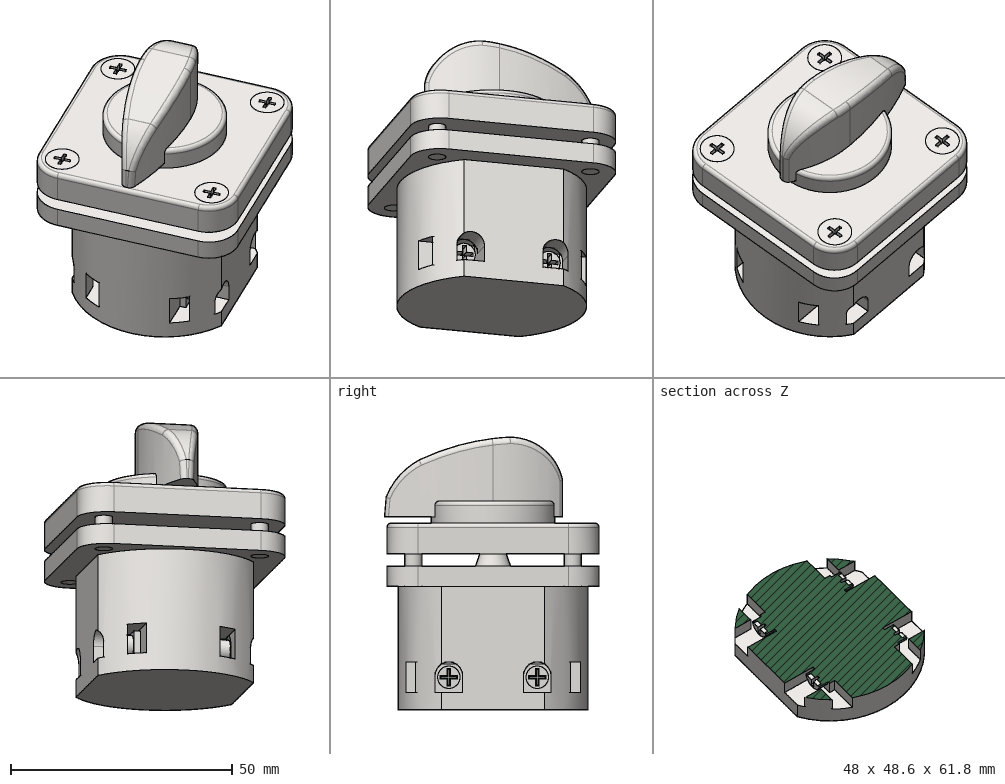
import cadquery as cq
import math

total_height = 61.75

plate_side = 48.0
plate_corner_radius = 7.0
base_plate_bottom = 27.95
base_plate_top = 32.55
cover_bottom = 35.3
cover_top = 42.3
cover_edge_radius = 1.0

drum_radius = 21.5
drum_half_width = 18.0
hub_bottom_radius = 4.0
hub_top_radius = 3.0

screw_spacing = 36.05
screw_head_radius = 3.8
screw_head_height = 2.5
screw_shank_radius = 2.0
screw_cross_length = 3.8
screw_cross_width = 0.7

cross_depth = 1.7
cross_taper = 8.0

pocket_width = 6.2
pocket_bottom = 4.0
pocket_top = 10.85
pocket_inner_x = 8.5
pocket_offset = 10.0
window_width = 3.95
block_thickness = 1.4
block_top = 10.45
terminal_head_radius = 2.55
terminal_head_height = 2.55
terminal_centre_z = 7.4
terminal_cross_length = 4.0
terminal_cross_width = 0.85

disc_radius = 14.0
disc_top = 47.3
disc_edge_radius = 1.0
grip_bottom = 43.65
grip_half_width = 6.25
grip_rear_y = 15.75
grip_front_y = -24.6
grip_rear_side_radius = 25.9
grip_front_side_radius = 61.75
grip_edge_radius = 1.5
grip_peak_y = 3.7
grip_rear_shoulder = 52.0
grip_back_middle = (-6.6, 60.2)
grip_brow = (-16.5, 56.7)
grip_nose_middle = (-21.25, 53.0)
grip_nose = (-24.2, 48.15)


def cylinder(radius, bottom, top):
    return cq.Workplane("XY", origin=(0, 0, bottom)).circle(radius).extrude(top - bottom)


def rounded_plate(bottom, top):
    return (
        cq.Workplane("XY", origin=(0, 0, bottom))
        .rect(plate_side, plate_side)
        .extrude(top - bottom)
        .edges("|Z")
        .fillet(plate_corner_radius)
    )


def cross_recess(length, width):
    """Two crossed slots with drafted walls, cut down from Z = 0 and centred on the Z axis."""
    slot = cq.Workplane("XY").rect(length, width).extrude(-cross_depth, taper=cross_taper)
    return slot.union(slot.rotate((0, 0, 0), (0, 0, 1), 90))


screw_places = [
    (x, y)
    for x in (-screw_spacing / 2, screw_spacing / 2)
    for y in (-screw_spacing / 2, screw_spacing / 2)
]


def screw_blank():
    head_bottom = cover_top - screw_head_height
    head = cylinder(screw_head_radius, head_bottom, cover_top)
    return head.union(cylinder(screw_shank_radius, base_plate_bottom, head_bottom))


def make_screw(x, y):
    recess = cross_recess(screw_cross_length, screw_cross_width).translate((0, 0, cover_top))
    return screw_blank().cut(recess).translate((x, y, 0))


def with_screw_holes(body):
    for x, y in screw_places:
        body = body.cut(screw_blank().translate((x, y, 0)))
    return body


def terminal_pocket():
    """Arched pocket in the -X flat, centred on Y = 0."""
    arch_centre_z = pocket_top - pocket_width / 2
    return (
        cq.Workplane("YZ", origin=(-drum_half_width, 0, 0))
        .moveTo(-pocket_width / 2, pocket_bottom)
        .lineTo(pocket_width / 2, pocket_bottom)
        .lineTo(pocket_width / 2, arch_centre_z)
        .threePointArc((0, pocket_top), (-pocket_width / 2, arch_centre_z))
        .close()
        .extrude(drum_half_width - pocket_inner_x)
    )


def terminal():
    """Block at the inner end of the -X pocket with a cross-slotted screw head on it, at Y = 0."""
    block_face_x = -pocket_inner_x - block_thickness
    block = (
        cq.Workplane("XY")
        .box(block_thickness, pocket_width, block_top - pocket_bottom, centered=(False, True, False))
        .translate((block_face_x, 0, pocket_bottom))
    )
    head = cylinder(terminal_head_radius, -terminal_head_height, 0)
    head = head.cut(cross_recess(terminal_cross_length, terminal_cross_width))
    head = head.rotate((0, 0, 0), (0, 1, 0), -90)
    return block.union(head.translate((block_face_x - terminal_head_height, 0, terminal_centre_z)))


def side_window():
    """Rectangular opening from the -Y side of the drum to the far wall of the -X pocket."""
    depth = drum_radius - pocket_offset + pocket_width / 2
    return (
        cq.Workplane("XY")
        .box(window_width, depth, pocket_top - pocket_bottom, centered=False)
        .translate((-pocket_inner_x - window_width, -drum_radius, pocket_bottom))
    )


def make_drum():
    flats = cq.Workplane("XY").rect(2 * drum_half_width, 2 * drum_radius).extrude(base_plate_bottom)
    drum = cylinder(drum_radius, 0, base_plate_bottom).intersect(flats)
    opening = terminal_pocket().cut(terminal()).translate((0, -pocket_offset, 0))
    window = side_window().cut(terminal().translate((0, -pocket_offset, 0)))
    front_left = opening.union(window)
    rear_left = front_left.mirror("XZ")
    for left_opening in (front_left, rear_left):
        drum = drum.cut(left_opening).cut(left_opening.mirror("YZ"))
    return drum


def make_hub():
    return (
        cq.Workplane("XY", origin=(0, 0, base_plate_top))
        .circle(hub_bottom_radius)
        .workplane(offset=cover_bottom - base_plate_top)
        .circle(hub_top_radius)
        .loft()
    )


def make_base():
    plate = rounded_plate(base_plate_bottom, base_plate_top)
    return with_screw_holes(make_drum().union(plate).union(make_hub()))


def side_half_width(y, radius):
    """Half width of the grip at y, on a side arc that is parallel to Y at y = 0."""
    return grip_half_width - radius + math.sqrt(radius**2 - y**2)


def grip_plan():
    """Grip outline seen along Z: two arcs on each side and narrow flat ends."""
    rear = side_half_width(grip_rear_y, grip_rear_side_radius)
    rear_middle = side_half_width(grip_rear_y / 2, grip_rear_side_radius)
    front = side_half_width(grip_front_y, grip_front_side_radius)
    front_middle = side_half_width(grip_front_y / 2, grip_front_side_radius)
    return (
        cq.Workplane("XY", origin=(0, 0, grip_bottom))
        .moveTo(-rear, grip_rear_y)
        .lineTo(rear, grip_rear_y)
        .threePointArc((rear_middle, grip_rear_y / 2), (grip_half_width, 0))
        .threePointArc((front_middle, grip_front_y / 2), (front, grip_front_y))
        .lineTo(-front, grip_front_y)
        .threePointArc((-front_middle, grip_front_y / 2), (-grip_half_width, 0))
        .threePointArc((-rear_middle, grip_rear_y / 2), (-rear, grip_rear_y))
        .close()
        .extrude(total_height - grip_bottom)
    )


def grip_profile():
    """Grip outline seen along X; the rear arc is horizontal at the peak."""
    run = grip_rear_y - grip_peak_y
    fall = total_height - grip_rear_shoulder
    rear_radius = (run**2 + fall**2) / (2 * fall)
    half_sweep = math.atan2(fall, run)
    rear_middle = (
        grip_peak_y + rear_radius * math.sin(half_sweep),
        total_height - rear_radius * (1 - math.cos(half_sweep)),
    )
    return (
        cq.Workplane("YZ")
        .moveTo(grip_front_y, grip_bottom)
        .lineTo(*grip_nose)
        .threePointArc(grip_nose_middle, grip_brow)
        .threePointArc(grip_back_middle, (grip_peak_y, total_height))
        .threePointArc(rear_middle, (grip_rear_y, grip_rear_shoulder))
        .lineTo(grip_rear_y, grip_bottom)
        .close()
        .extrude(grip_half_width, both=True)
    )


def make_grip():
    """Both outlines combined, with the crown and end edges rounded.

    The edges along X, the underside and the side seams stay unrounded.
    """
    grip = grip_plan().intersect(grip_profile())
    return grip.edges("not(|X or <Z or <X or >X)").fillet(grip_edge_radius)


def make_cover():
    plate = rounded_plate(cover_bottom, cover_top).faces(">Z").edges().fillet(cover_edge_radius)
    disc = cylinder(disc_radius, cover_top, disc_top).faces(">Z").edges().fillet(disc_edge_radius)
    return with_screw_holes(plate).union(disc).union(make_grip())


base = make_base()
cover = make_cover()
screws = [make_screw(x, y) for x, y in screw_places]

result = cq.Compound.makeCompound([base.val(), cover.val(), *[screw.val() for screw in screws]])